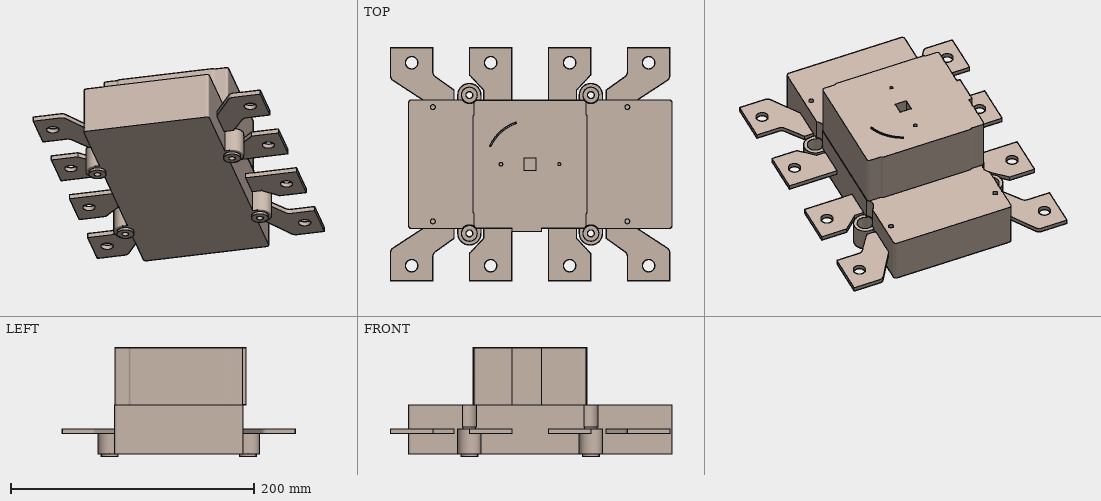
import cadquery as cq
import math

TOTAL_HEIGHT = 89.7
FOOT_HEIGHT = 2.2
BODY_TOP = 42.7
TERMINAL_BOTTOM = 19.0
TERMINAL_THICKNESS = 4.0
TERMINAL_TOP = TERMINAL_BOTTOM + TERMINAL_THICKNESS
SCALLOP_FLOOR = 24.5

BODY_LEFT = -100.15
BODY_RIGHT = 116.85
BODY_HALF_DEPTH = 53.0
BODY_CORNER_RADIUS = 2.5
BODY_HOLE_DIAMETER = 4.0
BODY_HOLE_X = 80.0
BODY_HOLE_Y = 47.0
BODY_HOLE_DEPTH = 5.0

TOWER_HALF_WIDTH = 47.0
TOWER_HALF_DEPTH = 52.6
TOWER_STEP = 1.0
TOWER_CORNER_RADIUS = 2.0
TOWER_STEP_Y = 40.3
TOWER_STEP_LENGTH = 2.6
TAB_LEFT = -15.0
TAB_RIGHT = 9.5
TAB_PROJECTION = 2.9

SHAFT_SOCKET_SIDE = 10.0
SHAFT_SOCKET_DEPTH = 15.0
PIN_HOLE_X = 24.0
LEFT_PIN_DIAMETER = 3.0
RIGHT_PIN_DIAMETER = 2.5
PIN_HOLE_DEPTH = 5.0
ARC_RADIUS = 36.0
ARC_WIDTH = 1.2
ARC_DEPTH = 0.5
ARC_START_ANGLE = 108.5
ARC_END_ANGLE = 156.0

TERMINAL_PITCH = 65.0
INNER_TERMINAL_X = TERMINAL_PITCH / 2
OUTER_TERMINAL_X = INNER_TERMINAL_X + TERMINAL_PITCH
TERMINAL_WIDTH = 35.0
TERMINAL_END_Y = 96.0
TERMINAL_HOLE_Y = 83.5
TERMINAL_HOLE_DIAMETER = 10.0
TERMINAL_NECK_TOP_Y = 73.5
TERMINAL_NECK_BOTTOM_Y = 61.0
OUTER_BEND_Y = 70.3
OUTER_ROOT_INNER_X = 62.5
OUTER_ROOT_OUTER_X = 88.5
OUTER_BEND_RADIUS = 5.0
INNER_ROOT_X = 38.3

BOSS_X = 50.0
BOSS_Y = 56.9
BOSS_DIAMETER = 19.2
BOSS_RIM_RADIUS = 0.5
FOOT_DIAMETER = 14.0
SCALLOP_DIAMETER = 14.0
COUNTERBORE_DIAMETER = 13.0
COUNTERBORE_FLOOR = 6.0
SCREW_HOLE_DIAMETER = 5.5

SIGNS = (-1, 1)
CORNERS = [(side, end) for side in SIGNS for end in SIGNS]
BOSS_POINTS = [(side * BOSS_X, end * BOSS_Y) for side, end in CORNERS]


def box(x_min, x_max, y_min, y_max, z_min, z_max):
    """Axis-aligned box given by its limits."""
    size = (x_max - x_min, y_max - y_min, z_max - z_min)
    return cq.Workplane("XY").box(*size, centered=False).translate((x_min, y_min, z_min))


def cylinders(points, diameter, z_min, z_max):
    """Upright cylinders of one diameter at the given points."""
    plane = cq.Workplane("XY").workplane(offset=z_min)
    return plane.pushPoints(points).circle(diameter / 2).extrude(z_max - z_min)


def make_body():
    body = box(BODY_LEFT, BODY_RIGHT, -BODY_HALF_DEPTH, BODY_HALF_DEPTH, FOOT_HEIGHT, BODY_TOP)
    return body.edges("|Z").fillet(BODY_CORNER_RADIUS)


def make_tower():
    narrow = TOWER_HALF_WIDTH - TOWER_STEP
    step_middle_x = TOWER_HALF_WIDTH - TOWER_STEP / 2
    step_outer_y = TOWER_STEP_Y + TOWER_STEP_LENGTH / 2
    step_inner_y = TOWER_STEP_Y - TOWER_STEP_LENGTH / 2
    rear_right = (
        cq.Workplane("XY").workplane(offset=BODY_TOP)
        .moveTo(0, TOWER_HALF_DEPTH)
        .lineTo(narrow, TOWER_HALF_DEPTH)
        .lineTo(narrow, step_outer_y)
        .tangentArcPoint((step_middle_x, TOWER_STEP_Y), relative=False)
        .tangentArcPoint((TOWER_HALF_WIDTH, step_inner_y), relative=False)
        .lineTo(TOWER_HALF_WIDTH, 0)
        .lineTo(0, 0)
        .close().extrude(TOTAL_HEIGHT - BODY_TOP)
    )
    rear = rear_right.union(rear_right.mirror("YZ"))
    tower = rear.union(rear.mirror("XZ"))
    tower = tower.edges("|Z and (>Y or <Y)").fillet(TOWER_CORNER_RADIUS)
    tab_front = -TOWER_HALF_DEPTH - TAB_PROJECTION
    return tower.union(box(TAB_LEFT, TAB_RIGHT, tab_front, 0, BODY_TOP, TOTAL_HEIGHT))


def make_terminal_plate(outline, hole_x):
    """Flat terminal with its connection hole."""
    plate = (
        cq.Workplane("XY").workplane(offset=TERMINAL_BOTTOM)
        .polyline(outline).close().extrude(TERMINAL_THICKNESS)
    )
    hole = cylinders([(hole_x, TERMINAL_HOLE_Y)], TERMINAL_HOLE_DIAMETER,
                     TERMINAL_BOTTOM, TERMINAL_TOP)
    return plate.cut(hole)


def make_inner_terminal():
    """Rear right inner terminal, cut back on the side next to the boss."""
    hole_x = INNER_TERMINAL_X
    near_x = hole_x - TERMINAL_WIDTH / 2
    far_x = hole_x + TERMINAL_WIDTH / 2
    return make_terminal_plate([
        (near_x, 0),
        (near_x, TERMINAL_END_Y),
        (far_x, TERMINAL_END_Y),
        (far_x, TERMINAL_NECK_TOP_Y),
        (INNER_ROOT_X, TERMINAL_NECK_BOTTOM_Y),
        (INNER_ROOT_X, 0),
    ], hole_x)


def make_outer_terminal():
    """Rear right outer terminal, cranked outwards from the body."""
    hole_x = OUTER_TERMINAL_X
    near_x = hole_x - TERMINAL_WIDTH / 2
    far_x = hole_x + TERMINAL_WIDTH / 2
    plate = make_terminal_plate([
        (near_x, TERMINAL_END_Y),
        (far_x, TERMINAL_END_Y),
        (far_x, OUTER_BEND_Y),
        (OUTER_ROOT_OUTER_X, BODY_HALF_DEPTH),
        (OUTER_ROOT_OUTER_X, 0),
        (OUTER_ROOT_INNER_X, 0),
        (OUTER_ROOT_INNER_X, TERMINAL_NECK_BOTTOM_Y),
        (near_x, TERMINAL_NECK_TOP_Y),
    ], hole_x)
    middle_z = (TERMINAL_BOTTOM + TERMINAL_TOP) / 2
    bends = [(far_x, OUTER_BEND_Y), (near_x, TERMINAL_NECK_TOP_Y)]
    for x, y in bends:
        nearest = cq.selectors.NearestToPointSelector((x, y, middle_z))
        plate = plate.edges("|Z").edges(nearest).fillet(OUTER_BEND_RADIUS)
    return plate


def make_terminals():
    """All eight terminals, mirrored left to right and front to rear."""
    rear_right = make_inner_terminal().union(make_outer_terminal())
    rear = rear_right.union(rear_right.mirror("YZ"))
    return rear.union(rear.mirror("XZ"))


def make_bosses():
    """Round bosses with flat flanks running back into the body, each on a round foot."""
    radius = BOSS_DIAMETER / 2
    bosses = cylinders(BOSS_POINTS, BOSS_DIAMETER, FOOT_HEIGHT, TERMINAL_TOP)
    bosses = bosses.faces("<Z").edges().fillet(BOSS_RIM_RADIUS)
    for side in SIGNS:
        x = side * BOSS_X
        flanks = box(x - radius, x + radius, -BOSS_Y, BOSS_Y, FOOT_HEIGHT, TERMINAL_TOP)
        bosses = bosses.union(flanks)
    return bosses.union(cylinders(BOSS_POINTS, FOOT_DIAMETER, 0, FOOT_HEIGHT))


def make_boss_cuts():
    """Screwdriver scallops, counterbores and screw holes."""
    scallops = cylinders(BOSS_POINTS, SCALLOP_DIAMETER, SCALLOP_FLOOR, BODY_TOP)
    counterbores = cylinders(BOSS_POINTS, COUNTERBORE_DIAMETER, COUNTERBORE_FLOOR, SCALLOP_FLOOR)
    screw_holes = cylinders(BOSS_POINTS, SCREW_HOLE_DIAMETER, 0, COUNTERBORE_FLOOR)
    return scallops.union(counterbores).union(screw_holes)


def make_body_holes():
    points = [(side * BODY_HOLE_X, end * BODY_HOLE_Y) for side, end in CORNERS]
    return cylinders(points, BODY_HOLE_DIAMETER, BODY_TOP - BODY_HOLE_DEPTH, BODY_TOP)


def make_tower_recesses():
    """Square shaft socket with a pin hole on each side of it."""
    half = SHAFT_SOCKET_SIDE / 2
    socket = box(-half, half, -half, half, TOTAL_HEIGHT - SHAFT_SOCKET_DEPTH, TOTAL_HEIGHT)
    pin_floor = TOTAL_HEIGHT - PIN_HOLE_DEPTH
    left_pin = cylinders([(-PIN_HOLE_X, 0)], LEFT_PIN_DIAMETER, pin_floor, TOTAL_HEIGHT)
    right_pin = cylinders([(PIN_HOLE_X, 0)], RIGHT_PIN_DIAMETER, pin_floor, TOTAL_HEIGHT)
    return socket.union(left_pin).union(right_pin)


def polar(radius, angle):
    """Point at a radius and an angle in degrees about the drive axis."""
    return radius * math.cos(math.radians(angle)), radius * math.sin(math.radians(angle))


def make_arc_groove():
    """Shallow arc marking the handle travel."""
    inner = ARC_RADIUS - ARC_WIDTH / 2
    outer = ARC_RADIUS + ARC_WIDTH / 2
    middle_angle = (ARC_START_ANGLE + ARC_END_ANGLE) / 2
    return (
        cq.Workplane("XY").workplane(offset=TOTAL_HEIGHT - ARC_DEPTH)
        .moveTo(*polar(outer, ARC_START_ANGLE))
        .threePointArc(polar(outer, middle_angle), polar(outer, ARC_END_ANGLE))
        .lineTo(*polar(inner, ARC_END_ANGLE))
        .threePointArc(polar(inner, middle_angle), polar(inner, ARC_START_ANGLE))
        .close().extrude(ARC_DEPTH)
    )


housing = make_body().union(make_tower()).union(make_bosses())
housing = housing.cut(make_boss_cuts()).cut(make_body_holes())
housing = housing.cut(make_tower_recesses()).cut(make_arc_groove())
result = housing.union(make_terminals())